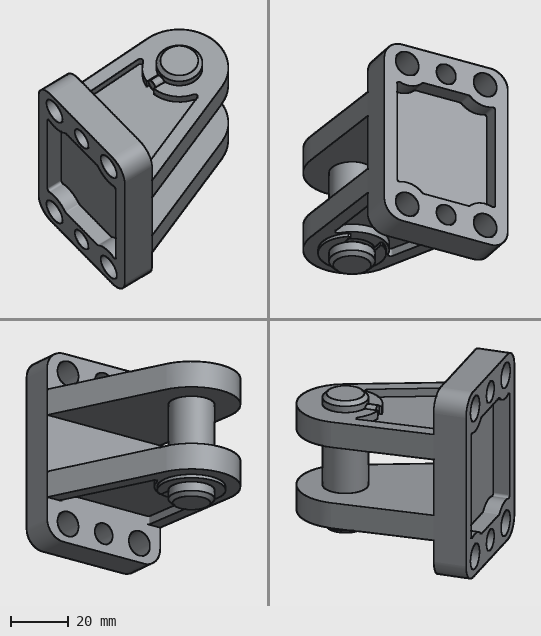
import cadquery as cq
import math


PLATE_WIDTH = 49.0
PLATE_HEIGHT = 70.0
PLATE_THICKNESS = 12.0
PLATE_CORNER_RADIUS = 7.0
HOLE_ROW_Z = 27.9
LARGE_HOLE_DIAMETER = 9.2
LARGE_HOLE_X = 15.5
SMALL_HOLE_DIAMETER = 7.8

RECESS_WIDTH = 39.0
RECESS_HEIGHT = 44.0
RECESS_DEPTH = 6.0
SCALLOP_RADIUS = 8.6
RECESS_FILLET = 1.0

EAR_RADIUS = 17.0
EAR_THICKNESS = 9.5
EAR_GAP = 21.0
EAR_OUTER_Z = EAR_GAP / 2 + EAR_THICKNESS

POCKET_DEPTH = 3.0
POCKET_RIM = 5.0
POCKET_BOSS_RADIUS = 12.9
POCKET_TIP_FILLET = 1.0
POCKET_FOOT_FILLET = 0.55

PIN_X = -9.5
PIN_Y = 50.0
PIN_DIAMETER = 16.0
PIN_TOP_Z = 23.9
PIN_BOTTOM_Z = -26.05
PIN_CHAMFER = 1.5

PEG_DIAMETER = 4.0
PEG_RADIUS = PEG_DIAMETER / 2
PEG_REACH = 11.8
PEG_Z = EAR_OUTER_Z - POCKET_DEPTH + PEG_RADIUS

CLIP_RADIUS = 11.8
CLIP_THICKNESS = 1.25
CLIP_FLAT_DISTANCE = 9.65
GROOVE_DIAMETER = 12.0
CLIP_BOTTOM_Z = -EAR_OUTER_Z - CLIP_THICKNESS


def pin_cylinder(radius, bottom_z, height):
    """A cylinder on the pin axis."""
    return cq.Workplane("XY", origin=(PIN_X, PIN_Y, bottom_z)).circle(radius).extrude(height)


def plate_block(width, height, depth):
    """A block centred on the mounting face and reaching into the plate from it."""
    return cq.Workplane("XY").box(width, depth, height, centered=(True, False, True))


def plate_cylinders(points, radius, depth):
    """Cylinders along Y that start on the mounting face, at (x, z) points."""
    return cq.Workplane("XZ").pushPoints(points).circle(radius).extrude(-depth)


def tangent_point(side, radius):
    """Point where the ear edge on one side (-1 left, +1 right) touches a circle round the pin.

    The edge runs from the rear corner of the plate and is tangent to the ear tip.  With a smaller
    radius the point lies on the same normal, so on a line parallel to the edge.
    """
    from_pin_x = side * PLATE_WIDTH / 2 - PIN_X
    from_pin_y = PLATE_THICKNESS - PIN_Y
    direction = math.atan2(from_pin_y, from_pin_x)
    spread = math.acos(EAR_RADIUS / math.hypot(from_pin_x, from_pin_y))
    normal = direction + side * spread
    return PIN_X + radius * math.cos(normal), PIN_Y + radius * math.sin(normal)


def rim_foot(side):
    """Point where the inner line of the ear rim meets the rear face of the plate."""
    corner_x = side * PLATE_WIDTH / 2
    edge_x, edge_y = tangent_point(side, EAR_RADIUS)
    edge_length = math.hypot(edge_x - corner_x, edge_y - PLATE_THICKNESS)
    rim_across = POCKET_RIM * edge_length / (edge_y - PLATE_THICKNESS)
    return corner_x - side * rim_across, PLATE_THICKNESS


def make_ear():
    """The upper ear, without pocket and pin hole."""
    return (
        cq.Workplane("XY", origin=(0, 0, EAR_GAP / 2))
        .moveTo(-PLATE_WIDTH / 2, PLATE_THICKNESS)
        .lineTo(*tangent_point(-1, EAR_RADIUS))
        .threePointArc((PIN_X, PIN_Y + EAR_RADIUS), tangent_point(1, EAR_RADIUS))
        .lineTo(PLATE_WIDTH / 2, PLATE_THICKNESS)
        .close()
        .extrude(EAR_THICKNESS)
    )


def make_ear_pocket():
    """Cutter for the pocket of the upper ear, between the rims, the pin boss and the plate."""
    inner_radius = EAR_RADIUS - POCKET_RIM
    floor_z = EAR_OUTER_Z - POCKET_DEPTH
    pocket = (
        cq.Workplane("XY", origin=(0, 0, floor_z))
        .polyline([
            rim_foot(-1),
            tangent_point(-1, inner_radius),
            tangent_point(1, inner_radius),
            rim_foot(1),
        ])
        .close()
        .extrude(POCKET_DEPTH)
        .cut(pin_cylinder(POCKET_BOSS_RADIUS, floor_z, POCKET_DEPTH))
    )
    pocket = pocket.edges("|Z").edges("<Y").fillet(POCKET_FOOT_FILLET)
    tip_edges = cq.selectors.BoxSelector(
        (-PLATE_WIDTH, PIN_Y - POCKET_BOSS_RADIUS, 0),
        (PLATE_WIDTH, PIN_Y + POCKET_BOSS_RADIUS, PLATE_HEIGHT),
    )
    return pocket.edges("|Z").edges(tip_edges).fillet(POCKET_TIP_FILLET)


def make_recess():
    """Cutter for the recess in the mounting face."""
    scallop_centres = [(x, z) for x in (-LARGE_HOLE_X, LARGE_HOLE_X) for z in (-HOLE_ROW_Z, HOLE_ROW_Z)]
    recess = plate_block(RECESS_WIDTH, RECESS_HEIGHT, RECESS_DEPTH)
    recess = recess.cut(plate_cylinders(scallop_centres, SCALLOP_RADIUS, RECESS_DEPTH))
    return recess.edges("|Y").fillet(RECESS_FILLET)


def make_plate():
    """Mounting plate with its recess and two rows of three holes."""
    plate = plate_block(PLATE_WIDTH, PLATE_HEIGHT, PLATE_THICKNESS)
    plate = plate.edges("|Y").fillet(PLATE_CORNER_RADIUS).cut(make_recess())
    for row_z in (-HOLE_ROW_Z, HOLE_ROW_Z):
        large_points = [(-LARGE_HOLE_X, row_z), (LARGE_HOLE_X, row_z)]
        plate = plate.cut(plate_cylinders(large_points, LARGE_HOLE_DIAMETER / 2, PLATE_THICKNESS))
        plate = plate.cut(plate_cylinders([(0, row_z)], SMALL_HOLE_DIAMETER / 2, PLATE_THICKNESS))
    return plate


def make_peg():
    """The cross peg, from the pin axis towards the plate."""
    return cq.Workplane("XZ", origin=(PIN_X, PIN_Y, PEG_Z)).circle(PEG_RADIUS).extrude(PEG_REACH)


def make_peg_slot():
    """Cutter for the slot that holds the peg, open to the top and level with the pocket floor."""
    slot = cq.Workplane("XZ", origin=(PIN_X, PIN_Y, EAR_OUTER_Z - POCKET_DEPTH / 2))
    return slot.rect(PEG_DIAMETER, POCKET_DEPTH).extrude(POCKET_BOSS_RADIUS)


def make_bracket():
    """Plate and two mirrored ears, with the pin hole and the peg slot."""
    upper_ear = make_ear().cut(make_ear_pocket())
    bracket = make_plate().union(upper_ear).union(upper_ear.mirror("XY"))
    pin_hole = pin_cylinder(PIN_DIAMETER / 2, -EAR_OUTER_Z, 2 * EAR_OUTER_Z)
    return bracket.cut(pin_hole).cut(make_peg_slot())


def make_pin():
    """Clevis pin with chamfered ends, a clip groove and the cross peg."""
    pin = pin_cylinder(PIN_DIAMETER / 2, PIN_BOTTOM_Z, PIN_TOP_Z - PIN_BOTTOM_Z)
    pin = pin.faces("<Z or >Z").chamfer(PIN_CHAMFER)
    groove = pin_cylinder(PIN_DIAMETER / 2, CLIP_BOTTOM_Z, CLIP_THICKNESS)
    groove = groove.cut(pin_cylinder(GROOVE_DIAMETER / 2, CLIP_BOTTOM_Z, CLIP_THICKNESS))
    return pin.cut(groove).union(make_peg())


def make_clip():
    """U-shaped clip: a disc with a flat towards the plate, slotted from there to the pin groove."""
    mouth_half_width = GROOVE_DIAMETER / 2
    flat_half_width = math.sqrt(CLIP_RADIUS**2 - CLIP_FLAT_DISTANCE**2)
    return (
        cq.Workplane("XY", origin=(PIN_X, PIN_Y, CLIP_BOTTOM_Z))
        .moveTo(-mouth_half_width, -CLIP_FLAT_DISTANCE)
        .lineTo(-flat_half_width, -CLIP_FLAT_DISTANCE)
        .threePointArc((0, CLIP_RADIUS), (flat_half_width, -CLIP_FLAT_DISTANCE))
        .lineTo(mouth_half_width, -CLIP_FLAT_DISTANCE)
        .lineTo(mouth_half_width, 0)
        .threePointArc((0, mouth_half_width), (-mouth_half_width, 0))
        .close()
        .extrude(CLIP_THICKNESS)
    )


bracket = make_bracket()
pin = make_pin()
clip = make_clip()

result = cq.Compound.makeCompound([body.solids().val() for body in (bracket, pin, clip)])